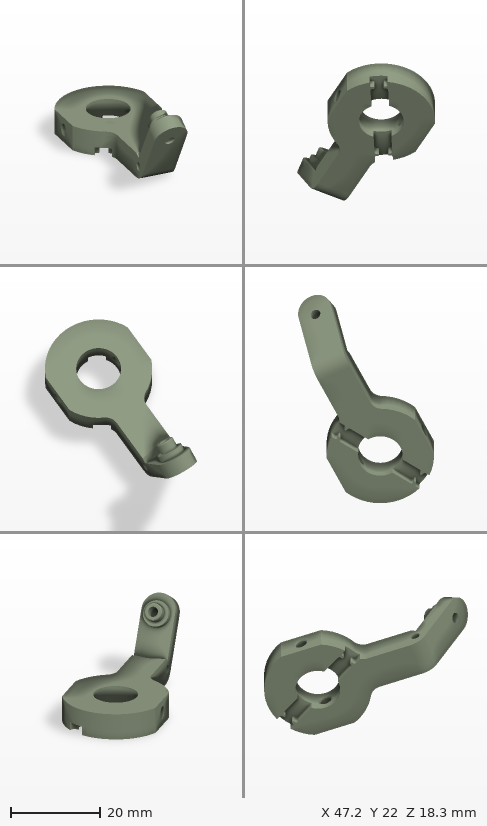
import cadquery as cq
import math

ring_radius = 12.0
bore_radius = 5.0
flat_spacing = 22.0
body_height = 6.05
arm_width = 8.0
arm_fillet_radius = 3.0
cross_hole_diameter = 2.5
cross_hole_chamfer = 0.25

slot_width = 4.0
slot_depth = 2.0
slot_angle = -30

rib_outer_distance = 10.45
rib_thickness = 0.55
rib_height = 1.0
rib_root_radius = 0.5

total_length = 47.25
total_height = 18.3
link_angle = 60
link_thickness = 3.5
bend_radius = 4.0
shoulder_distance = 10.95
relief_radius = 11.25

pivot_x = 36.65
pivot_z = 3.15
pivot_diameter = 2.0
pivot_depth = 2.0

peg_offset = 1.0
flange_diameter = 6.0
flange_height = 1.5
peg_diameter = 4.0
peg_height = 2.3
peg_chamfer = 0.2
peg_hole_diameter = 2.3

half_width = arm_width / 2
cos_link = math.cos(math.radians(link_angle))
sin_link = math.sin(math.radians(link_angle))

outer_tip = (total_length, total_height - link_thickness * cos_link)
inner_tip = (total_length - link_thickness * sin_link, total_height)
bend_x = outer_tip[0] - outer_tip[1] * cos_link / sin_link


def point_on_link(distance_from_tip):
    """Point on the link's inner face, measured down from the tip."""
    return (inner_tip[0] - distance_from_tip * cos_link, inner_tip[1] - distance_from_tip * sin_link)


round_x, round_z = point_on_link(half_width)
link_plane = cq.Plane(
    origin=(round_x, 0, round_z),
    xDir=(0, 1, 0),
    normal=(-sin_link, 0, cos_link),
)


def make_ring():
    disc = cq.Workplane("XY").center(ring_radius, 0).circle(ring_radius).extrude(body_height)
    flats = cq.Workplane("XY").center(ring_radius, 0).rect(2 * ring_radius, flat_spacing).extrude(body_height)
    return disc.intersect(flats)


def make_neck():
    """Web with concave sides that blends the ring into the arm."""
    center_y = half_width + arm_fillet_radius
    center_distance = ring_radius + arm_fillet_radius
    center_dx = math.sqrt(center_distance**2 - center_y**2)
    contact_ratio = ring_radius / center_distance
    contact_x = ring_radius + center_dx * contact_ratio
    contact_y = center_y * contact_ratio
    end_x = ring_radius + center_dx
    return (
        cq.Workplane("XY")
        .moveTo(ring_radius, -contact_y)
        .lineTo(contact_x, -contact_y)
        .radiusArc((end_x, -half_width), arm_fillet_radius)
        .lineTo(end_x, half_width)
        .radiusArc((contact_x, contact_y), arm_fillet_radius)
        .lineTo(ring_radius, contact_y)
        .close()
        .extrude(body_height)
    )


def make_arm_and_link():
    shoulder_x, shoulder_z = point_on_link(half_width + shoulder_distance)
    shoulder_top_x = shoulder_x - (body_height - shoulder_z) * sin_link / cos_link
    bend_tangent = bend_radius * math.tan(math.radians(link_angle / 2))
    profile = (
        cq.Workplane("XZ")
        .moveTo(ring_radius, 0)
        .lineTo(bend_x - bend_tangent, 0)
        .radiusArc((bend_x + bend_tangent * cos_link, bend_tangent * sin_link), -bend_radius)
        .lineTo(*outer_tip)
        .lineTo(*inner_tip)
        .lineTo(shoulder_x, shoulder_z)
        .lineTo(shoulder_top_x, body_height)
        .lineTo(ring_radius, body_height)
        .close()
        .extrude(half_width, both=True)
    )
    corner_blanks = (
        cq.Workplane(link_plane)
        .center(0, -half_width / 2)
        .rect(arm_width, half_width)
        .extrude(-link_thickness)
    )
    round_end = cq.Workplane(link_plane).circle(half_width).extrude(-link_thickness)
    return profile.cut(corner_blanks).union(round_end)


def make_shoulder_relief():
    """Arc cut in the shoulder, centred on the link's rounded end."""
    return cq.Workplane(link_plane).circle(relief_radius).extrude(body_height)


def make_peg():
    peg = cq.Workplane(link_plane).center(0, peg_offset).circle(flange_diameter / 2).extrude(flange_height)
    tip = (
        cq.Workplane(link_plane)
        .center(0, peg_offset)
        .circle(peg_diameter / 2)
        .extrude(flange_height + peg_height)
        .faces(cq.selectors.DirectionMinMaxSelector(link_plane.zDir))
        .chamfer(peg_chamfer)
    )
    return peg.union(tip)


def make_peg_hole():
    return (
        cq.Workplane(link_plane)
        .workplane(offset=-link_thickness)
        .center(0, peg_offset)
        .circle(peg_hole_diameter / 2)
        .extrude(link_thickness + flange_height + peg_height)
    )


def make_cross_hole():
    """Hole along Y through both flats, chamfered at the flats and where it enters the bore."""
    hole_radius = cross_hole_diameter / 2
    mouth_radius = hole_radius + cross_hole_chamfer
    half_spacing = flat_spacing / 2
    cone_start = bore_radius - cross_hole_chamfer
    cone_end = bore_radius + cross_hole_chamfer
    cone_radius = hole_radius + cone_end - cone_start
    half_hole = (
        cq.Workplane("XY", origin=(ring_radius, 0, body_height / 2))
        .lineTo(hole_radius, 0)
        .lineTo(hole_radius, cone_start)
        .lineTo(cone_radius, cone_start)
        .lineTo(hole_radius, cone_end)
        .lineTo(hole_radius, half_spacing - cross_hole_chamfer)
        .lineTo(mouth_radius, half_spacing)
        .lineTo(0, half_spacing)
        .close()
        .revolve(360, (0, 0), (0, 1))
    )
    return half_hole.union(half_hole.mirror("XZ"))


def make_rib():
    """Rib on the slot's +Y wall, before the slot is turned, with a round tip and filleted root."""
    wall_y = slot_width / 2
    tip_radius = rib_thickness / 2
    tip_y = wall_y - rib_height + tip_radius
    root_y = wall_y - rib_root_radius
    inner_x = rib_outer_distance - rib_thickness
    return (
        cq.Workplane("XY")
        .moveTo(inner_x - rib_root_radius, wall_y)
        .radiusArc((inner_x, root_y), rib_root_radius)
        .lineTo(inner_x, tip_y)
        .radiusArc((rib_outer_distance, tip_y), -tip_radius)
        .lineTo(rib_outer_distance, root_y)
        .radiusArc((rib_outer_distance + rib_root_radius, wall_y), rib_root_radius)
        .close()
        .extrude(slot_depth)
    )


def make_slot():
    slot = cq.Workplane("XY").rect(3 * ring_radius, slot_width).extrude(slot_depth)
    end_ribs = make_rib().union(make_rib().mirror("YZ"))
    ribs = end_ribs.union(end_ribs.mirror("XZ"))
    return slot.cut(ribs).rotate((0, 0, 0), (0, 0, 1), slot_angle).translate((ring_radius, 0, 0))


def make_pivot_hole():
    return (
        cq.Workplane("XZ", origin=(pivot_x, -half_width, pivot_z))
        .circle(pivot_diameter / 2)
        .extrude(-pivot_depth)
    )


bore = cq.Workplane("XY").center(ring_radius, 0).circle(bore_radius).extrude(body_height)

result = (
    make_ring()
    .union(make_neck())
    .union(make_arm_and_link().cut(make_shoulder_relief()))
    .union(make_peg())
    .cut(bore)
    .cut(make_cross_hole())
    .cut(make_slot())
    .cut(make_pivot_hole())
    .cut(make_peg_hole())
)